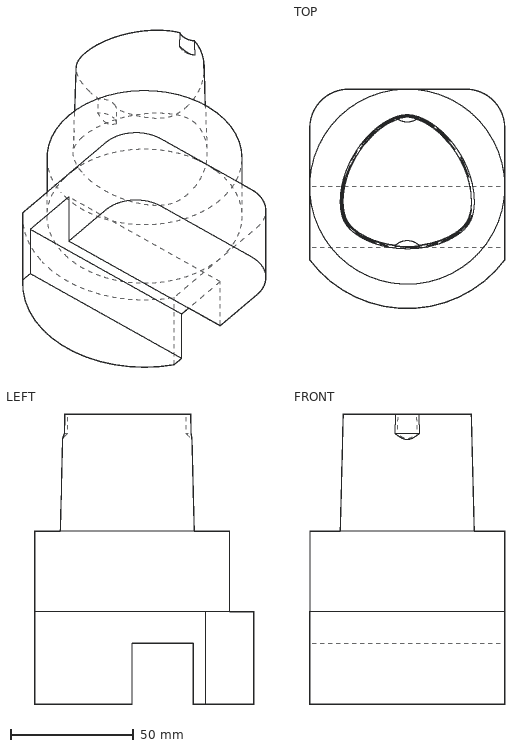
import cadquery as cq
import math


base_height = 38.0
base_half_width = 40.0
base_front_radius = 50.0
base_corner_radius = 16.0

slot_width = 25.0
slot_height = 25.0
slot_back_y = 0.0

flange_diameter = 79.98
flange_height = 33.0

shank_height = 48.0
shank_root_width = 55.0
shank_taper = 1 / 20
lobe_height = 2.0
lobe_count = 3
profile_points = 72

groove_radius = 7.0
groove_depth = 8.0
groove_floor_front = 22.1
groove_floor_back = 26.5

flange_base_z = base_height
shank_root_z = flange_base_z + flange_height
shank_end_z = shank_root_z + shank_height


def make_base():
    """Plate with a flat back, rounded back corners and an arched front."""
    front_corner_y = -math.sqrt(base_front_radius**2 - base_half_width**2)
    back_y = base_half_width
    plate = (
        cq.Workplane("XY")
        .moveTo(-base_half_width, front_corner_y)
        .threePointArc((0, -base_front_radius), (base_half_width, front_corner_y))
        .lineTo(base_half_width, back_y)
        .lineTo(-base_half_width, back_y)
        .close()
        .extrude(base_height)
    )
    return plate.edges("|Z and >Y").fillet(base_corner_radius)


def make_slot():
    """Rectangular slot running along X through the whole base."""
    return (
        cq.Workplane("XY")
        .box(2 * base_half_width, slot_width, slot_height, centered=(True, True, False))
        .translate((0, slot_back_y - slot_width / 2, 0))
    )


def make_flange():
    """Round flange standing on the base, a hair narrower than the base."""
    return (
        cq.Workplane("XY")
        .workplane(offset=flange_base_z)
        .circle(flange_diameter / 2)
        .extrude(flange_height)
    )


def lobed_profile(width):
    """Points of a constant-width three-lobed outline with one lobe on +Y."""
    points = []
    for i in range(profile_points):
        angle = 2 * math.pi * i / profile_points
        lobe_angle = lobe_count * (angle - math.pi / 2)
        reach = width / 2 + lobe_height * math.cos(lobe_angle)
        reach_rate = -lobe_count * lobe_height * math.sin(lobe_angle)
        x = reach * math.cos(angle) - reach_rate * math.sin(angle)
        y = reach * math.sin(angle) + reach_rate * math.cos(angle)
        points.append((x, y))
    return points


def make_shank():
    """Shank tapering evenly from the flange to its free end."""
    end_width = shank_root_width - shank_taper * shank_height
    return (
        cq.Workplane("XY")
        .workplane(offset=shank_root_z)
        .spline(lobed_profile(shank_root_width), periodic=True)
        .close()
        .workplane(offset=shank_height)
        .spline(lobed_profile(end_width), periodic=True)
        .close()
        .loft(ruled=True, combine=True)
    )


def make_groove(axis_y):
    """Pointed round cutter standing parallel to Z at the given Y."""
    shoulder_z = shank_end_z - groove_depth
    tip_z = shoulder_z - groove_radius
    return (
        cq.Workplane("XZ")
        .moveTo(0, tip_z)
        .lineTo(groove_radius, shoulder_z)
        .lineTo(groove_radius, shank_end_z)
        .lineTo(0, shank_end_z)
        .close()
        .revolve(360, (0, 0, 0), (0, 1, 0))
        .translate((0, axis_y, 0))
    )


groove_axes = (
    -groove_floor_front - groove_radius,
    groove_floor_back + groove_radius,
)
shank = make_shank()
for groove_axis_y in groove_axes:
    shank = shank.cut(make_groove(groove_axis_y))

result = make_base().cut(make_slot()).union(make_flange()).union(shank)